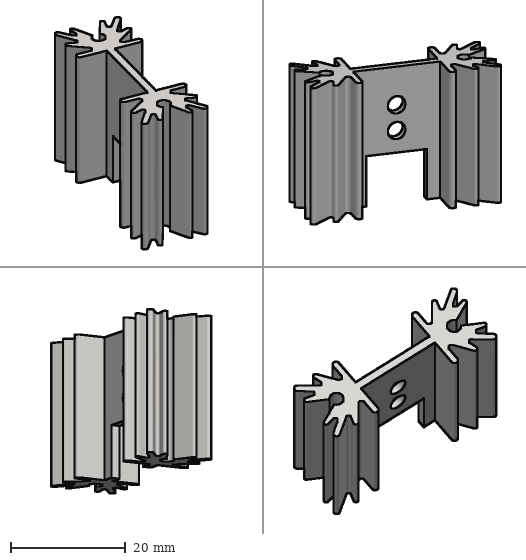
import cadquery as cq
import math

length = 34.92
depth = 12.7
height = 25.4
half_length = length / 2
half_depth = depth / 2

web_thickness = 1.6
notch_width = 11.15
notch_height = 9.35
hole_diameter = 3.18
hole_heights = (13.48, 18.25)

fin_inner_x = 7.95
fin_thickness = 1.22
fin_tip_radius = fin_thickness / 2
fin_outer_x = fin_inner_x + fin_thickness

steep_tip_radius = 0.45
steep_tip_x = 12.8
corner_tip_radius = 0.575
side_tip_radius = 0.42
side_tip_y = 2.9
wide_valley_radius = 0.55
wide_valley_y = 3.35
narrow_valley_radius = 0.42
upper_valley = (13.25, 4.33)
lower_valley = (15.45, 3.4)

channel_x = 12.68
channel_radius = 1.22
channel_lip_y = 0.65
channel_lip_x = channel_x + math.sqrt(channel_radius**2 - channel_lip_y**2)

rounds = [
    (fin_outer_x + wide_valley_radius, wide_valley_y, wide_valley_radius),
    (steep_tip_x, half_depth - steep_tip_radius, steep_tip_radius),
    (*upper_valley, narrow_valley_radius),
    (half_length - corner_tip_radius, half_depth - corner_tip_radius, corner_tip_radius),
    (*lower_valley, narrow_valley_radius),
    (half_length - side_tip_radius, side_tip_y, side_tip_radius),
]


def flank_angle(first, second, turn):
    """Angle of the normal at which a flank leaves the first round to cross to the second.

    The flank is an inner tangent, so it meets the second round at the opposite angle.
    A second round of zero radius is a plain point.
    """
    dx = second[0] - first[0]
    dy = second[1] - first[1]
    spread = math.acos((first[2] + second[2]) / math.hypot(dx, dy))
    return math.atan2(dy, dx) + turn * spread


def point_on(center_round, angle):
    x, y, radius = center_round
    return (x + radius * math.cos(angle), y + radius * math.sin(angle))


def finned_quarter():
    """One quarter of the finned end, between the straight fin and the mid plane."""
    outline = (
        cq.Workplane("XY")
        .moveTo(fin_inner_x, 0)
        .lineTo(fin_inner_x, half_depth - fin_tip_radius)
        .threePointArc(
            (fin_inner_x + fin_tip_radius, half_depth),
            (fin_outer_x, half_depth - fin_tip_radius),
        )
        .lineTo(fin_outer_x, wide_valley_y)
    )
    channel_lip = (channel_lip_x, channel_lip_y, 0.0)
    arrival = math.pi
    turn = 1
    for current, following in zip(rounds, rounds[1:] + [channel_lip]):
        departure = flank_angle(current, following, -turn)
        sweep = turn * ((turn * (departure - arrival)) % (2 * math.pi))
        outline = outline.threePointArc(
            point_on(current, arrival + sweep / 2), point_on(current, departure)
        ).lineTo(*point_on(following, departure + math.pi))
        arrival = departure + math.pi
        turn = -turn
    return outline.lineTo(channel_lip_x, 0).close().extrude(height)


def finned_end():
    """The two mirrored quarters, with the screw channel bored along their shared plane."""
    quarter = finned_quarter()
    channel = cq.Workplane("XY").center(channel_x, 0).circle(channel_radius).extrude(height)
    return quarter.union(quarter.mirror("XZ")).cut(channel)


def web():
    plate = cq.Workplane("XY").box(
        2 * fin_inner_x, web_thickness, height, centered=(True, True, False)
    )
    notch = cq.Workplane("XY").box(
        notch_width, web_thickness, notch_height, centered=(True, True, False)
    )
    holes = (
        cq.Workplane("XZ")
        .pushPoints([(0, z) for z in hole_heights])
        .circle(hole_diameter / 2)
        .extrude(web_thickness, both=True)
    )
    return plate.cut(notch).cut(holes)


end = finned_end()
result = web().union(end).union(end.mirror("YZ"))